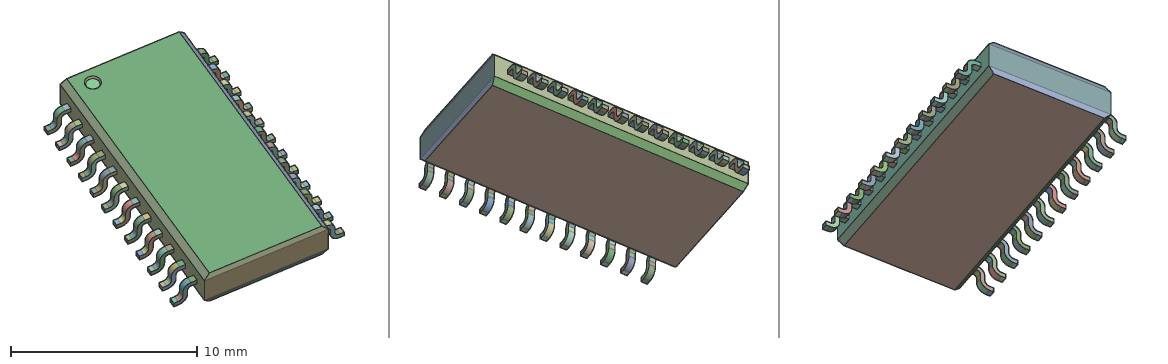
import cadquery as cq

body_length = 16.0
body_width = 7.6
body_bottom = 0.2
body_top = 2.5
side_inset = 0.35
end_inset = 0.1
cap_height = side_inset
belt_bottom = body_bottom + cap_height
belt_top = body_top - cap_height

leads_per_side = 12
lead_row_length = 13.97
lead_pitch = lead_row_length / (leads_per_side - 1)
first_lead_x = -lead_row_length / 2
lead_span = 10.45
lead_width = 0.4
lead_thickness = 0.29
lead_top = 1.4
inner_bend = 0.29
outer_bend = inner_bend + lead_thickness
shoulder_bend = 0.5
foot_length = 0.27

mark_diameter = 0.91
mark_floor_diameter = 0.77
mark_depth = 0.13
mark_y = -2.35


def make_body():
    """Straight belt with a tapered cap above and below it."""
    cap_length = body_length - 2 * end_inset
    cap_width = body_width - 2 * side_inset
    return (
        cq.Workplane("XY")
        .workplane(offset=body_bottom)
        .rect(cap_length, cap_width)
        .workplane(offset=cap_height)
        .rect(body_length, body_width)
        .workplane(offset=belt_top - belt_bottom)
        .rect(body_length, body_width)
        .workplane(offset=cap_height)
        .rect(cap_length, cap_width)
        .loft(ruled=True)
    )


def make_lead(x):
    """S-bent strip on the -Y side, centred on x, with its foot on Z = 0."""
    tip_y = -lead_span / 2
    body_y = -body_width / 2
    foot_end = tip_y + foot_length
    outer_wall = foot_end + inner_bend
    inner_wall = outer_wall + lead_thickness
    foot_bend_top = lead_thickness + inner_bend
    shoulder_start = lead_top - shoulder_bend
    shoulder_end = outer_wall + shoulder_bend
    shoulder_underside = lead_top - lead_thickness
    profile = (
        cq.Workplane("YZ")
        .workplane(offset=x - lead_width / 2)
        .moveTo(tip_y, 0)
        .lineTo(foot_end, 0)
        .radiusArc((inner_wall, foot_bend_top), -outer_bend)
        .lineTo(inner_wall, shoulder_start)
        .radiusArc((shoulder_end, shoulder_underside), shoulder_bend - lead_thickness)
        .lineTo(body_y, shoulder_underside)
        .lineTo(body_y, lead_top)
        .lineTo(shoulder_end, lead_top)
        .radiusArc((outer_wall, shoulder_start), -shoulder_bend)
        .lineTo(outer_wall, foot_bend_top)
        .radiusArc((foot_end, lead_thickness), inner_bend)
        .lineTo(tip_y, lead_thickness)
        .close()
    )
    return profile.extrude(lead_width)


def make_pin_mark():
    """Shallow recess, tapering inward with depth, in the top face beside the first lead."""
    return (
        cq.Workplane("XY")
        .workplane(offset=body_top - mark_depth)
        .center(first_lead_x, mark_y)
        .circle(mark_floor_diameter / 2)
        .workplane(offset=mark_depth)
        .circle(mark_diameter / 2)
        .loft()
    )


result = make_body().cut(make_pin_mark())
for index in range(leads_per_side):
    lead = make_lead(first_lead_x + index * lead_pitch)
    result = result.union(lead).union(lead.mirror("XZ"))